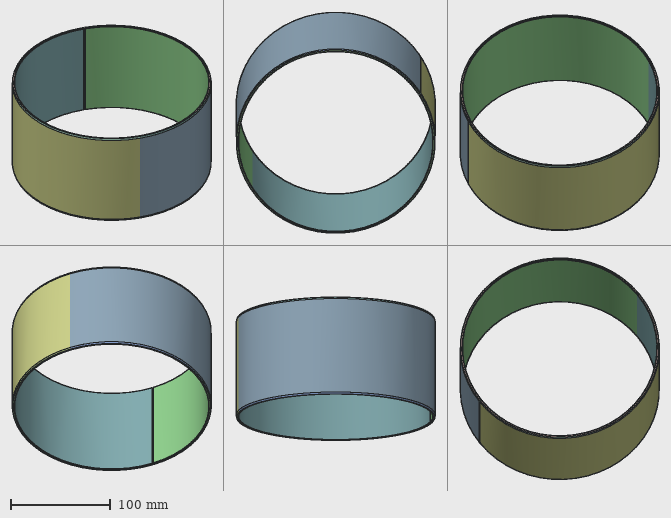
import cadquery as cq

outer_diameter = 200.0
height = 100.0
inner_diameter = 194.8
slit_width = 1.5
outer_bevel_height = 1.8
outer_bevel_depth = 0.5
inner_bevel = 0.5

outer_radius = outer_diameter / 2
inner_radius = inner_diameter / 2
rim_outer_radius = outer_radius - outer_bevel_depth
rim_inner_radius = inner_radius + inner_bevel

section = [
    (rim_inner_radius, 0),
    (rim_outer_radius, 0),
    (outer_radius, outer_bevel_height),
    (outer_radius, height - outer_bevel_height),
    (rim_outer_radius, height),
    (rim_inner_radius, height),
    (inner_radius, height - inner_bevel),
    (inner_radius, inner_bevel),
]
ring = cq.Workplane("XZ").polyline(section).close().revolve(360, (0, 0), (0, 1))

slit = (
    cq.Workplane("XY")
    .box(outer_radius, slit_width, height, centered=False)
    .translate((-outer_radius, 0, 0))
)

result = ring.cut(slit)